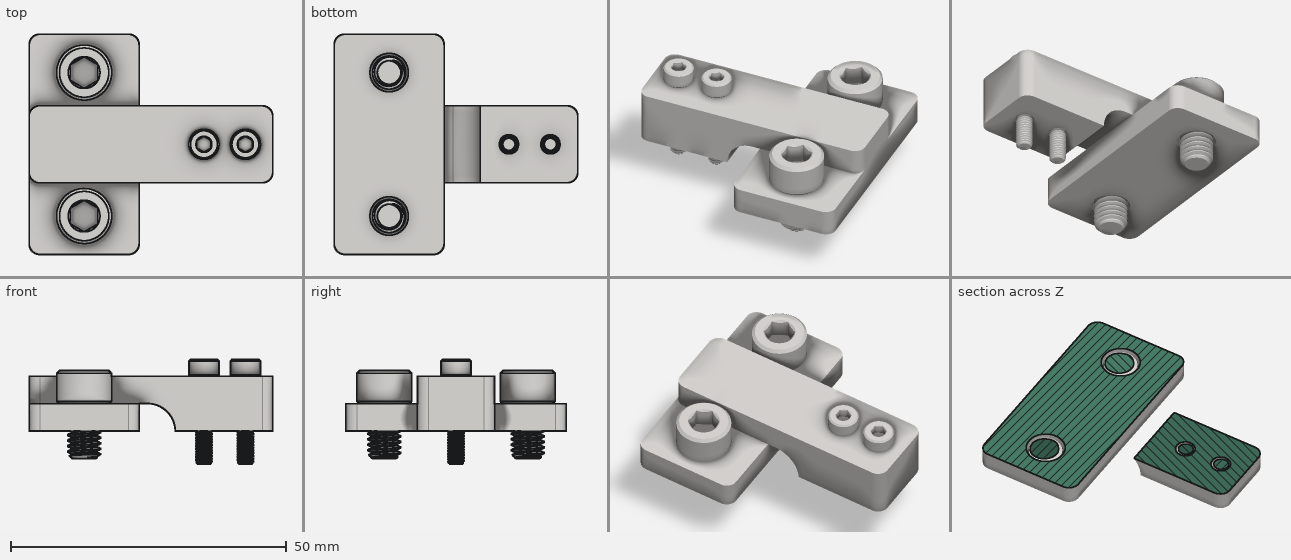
import cadquery as cq
import math

PLATE_LENGTH = 20.0
PLATE_WIDTH = 40.0
PLATE_THICKNESS = 5.0
CORNER_RADIUS = 2.0

ARM_LENGTH = 44.25
ARM_WIDTH = 14.02
ARM_TOP = 2 * PLATE_THICKNESS
ARCH_RADIUS = PLATE_THICKNESS
ARCH_CENTER_X = 21.5

LARGE_THREAD_DIAMETER = 6.0
LARGE_ROOT_DIAMETER = 4.7
LARGE_SHANK_LENGTH = 10.0
LARGE_TURNS = 10
LARGE_PITCH = LARGE_SHANK_LENGTH / LARGE_TURNS
LARGE_TIP_CHAMFER = 0.9
LARGE_TIP_TURNS = 7
LARGE_CREST_ANGLE = 70.0
LARGE_HEAD_DIAMETER = 10.0
LARGE_HEAD_HEIGHT = LARGE_THREAD_DIAMETER
LARGE_HEX_WIDTH = 5.0
LARGE_TOP_CHAMFER = 0.55
LARGE_BOTTOM_CHAMFER = 0.45
LARGE_HOLE_DIAMETER = 7.0
LARGE_SCREW_X = PLATE_LENGTH / 2
LARGE_SCREW_SPACING = 26.0

SMALL_THREAD_DIAMETER = 3.0
SMALL_ROOT_DIAMETER = 2.55
SMALL_PITCH = LARGE_PITCH / 2
SMALL_SHANK_LENGTH = 15.95
SMALL_TIP_CHAMFER = 0.4
SMALL_TIP_TURNS = 3
SMALL_CREST_ANGLE = 0.0
SMALL_HEAD_DIAMETER = 5.5
SMALL_HEAD_HEIGHT = SMALL_THREAD_DIAMETER
SMALL_HEX_WIDTH = 2.5
SMALL_TOP_CHAMFER = 0.3
SMALL_BOTTOM_CHAMFER = 0.25
SMALL_HOLE_DIAMETER = 3.5
SMALL_SCREW_END_MARGIN = 5.0
SMALL_SCREW_SPACING = 7.5

SOCKET_DEPTH_RATIO = 0.6
CREST_WIDTH_RATIO = 0.125
RIDGE_BASE_RATIO = 0.8
RIDGE_SINK_RATIO = 0.05

LARGE_SCREW_POINTS = [(LARGE_SCREW_X, side * LARGE_SCREW_SPACING / 2) for side in (-1, 1)]
SMALL_SCREW_POINTS = [
    (ARM_LENGTH - SMALL_SCREW_END_MARGIN - step * SMALL_SCREW_SPACING, 0) for step in (0, 1)
]


def make_plate():
    """Flat plate with rounded corners and a clearance hole for each large screw."""
    return (
        cq.Workplane("XY")
        .center(PLATE_LENGTH / 2, 0)
        .rect(PLATE_LENGTH, PLATE_WIDTH)
        .extrude(PLATE_THICKNESS)
        .edges("|Z")
        .fillet(CORNER_RADIUS)
        .faces(">Z")
        .workplane(origin=(0, 0, PLATE_THICKNESS))
        .pushPoints(LARGE_SCREW_POINTS)
        .circle(LARGE_HOLE_DIAMETER / 2)
        .cutThruAll()
    )


def make_arm():
    """Arm with a quarter-round arch at its step and a clearance hole for each small screw."""
    arch_offset = ARCH_RADIUS * math.sqrt(0.5)
    return (
        cq.Workplane("XZ")
        .moveTo(0, ARM_TOP)
        .lineTo(0, PLATE_THICKNESS)
        .lineTo(ARCH_CENTER_X, PLATE_THICKNESS)
        .threePointArc((ARCH_CENTER_X + arch_offset, arch_offset), (ARCH_CENTER_X + ARCH_RADIUS, 0))
        .lineTo(ARM_LENGTH, 0)
        .lineTo(ARM_LENGTH, ARM_TOP)
        .close()
        .extrude(ARM_WIDTH / 2, both=True)
        .edges("|Z and (<X or >X)")
        .fillet(CORNER_RADIUS)
        .faces(">Z")
        .workplane(origin=(0, 0, ARM_TOP))
        .pushPoints(SMALL_SCREW_POINTS)
        .circle(SMALL_HOLE_DIAMETER / 2)
        .cutThruAll()
    )


def make_head(diameter, height, hex_width, top_chamfer, bottom_chamfer):
    """Cylindrical cap head standing on Z = 0, with a hexagon socket and its conical lead-in."""
    hex_corner_diameter = hex_width / math.cos(math.pi / 6)
    lead_in_radius = hex_corner_diameter / 2
    head = cq.Workplane("XY").circle(diameter / 2).extrude(height)
    head = head.faces(">Z").chamfer(top_chamfer)
    head = head.faces("<Z").chamfer(bottom_chamfer)
    socket = (
        cq.Workplane("XY", origin=(0, 0, height))
        .transformed(rotate=(0, 0, 90))
        .polygon(6, hex_corner_diameter)
        .extrude(-SOCKET_DEPTH_RATIO * height)
    )
    lead_in = cq.Workplane(cq.Solid.makeCone(0, lead_in_radius, lead_in_radius))
    lead_in = lead_in.translate((0, 0, height - lead_in_radius))
    return head.cut(socket).cut(lead_in)


def make_ridge(diameter, root_diameter, pitch, length, crest_angle):
    """Right-hand helical ridge with a trapezoid profile, climbing from Z = 0."""
    root_radius = root_diameter / 2
    crest_height = (diameter - root_diameter) / 2
    half_base = RIDGE_BASE_RATIO * pitch / 2
    half_crest = CREST_WIDTH_RATIO * pitch / 2
    sink = RIDGE_SINK_RATIO * pitch
    helix = cq.Wire.makeHelix(pitch, length, root_radius)
    ridge = (
        cq.Workplane("XZ", origin=(root_radius, 0, 0))
        .moveTo(-sink, -half_base)
        .lineTo(crest_height, -half_crest)
        .lineTo(crest_height, half_crest)
        .lineTo(-sink, half_base)
        .close()
        .sweep(cq.Workplane(helix), isFrenet=True)
    )
    return ridge.rotate((0, 0, 0), (0, 0, 1), crest_angle)


def make_shank(diameter, root_diameter, pitch, length, tip_chamfer, tip_turns, crest_angle):
    """Threaded shank hanging below Z = 0, with a conical chamfer on its tip.

    The ridge starts one pitch below the tip and ends one pitch below the head. Its first
    turns are a separate piece, so that only this short piece is trimmed by the tip cone.
    """
    tip_radius = diameter / 2 - tip_chamfer
    tip_length = tip_turns * pitch
    cone_height = tip_length + pitch
    cone = cq.Workplane(cq.Solid.makeCone(tip_radius, tip_radius + cone_height, cone_height))

    core = cq.Workplane("XY").circle(root_diameter / 2).extrude(length)
    core = core.faces("<Z").chamfer(root_diameter / 2 - tip_radius)
    tip_ridge = make_ridge(diameter, root_diameter, pitch, tip_length, crest_angle)
    tip_ridge = tip_ridge.translate((0, 0, -pitch)).intersect(cone, clean=False)
    upper_ridge = make_ridge(diameter, root_diameter, pitch, length - tip_length, crest_angle)
    upper_ridge = upper_ridge.translate((0, 0, tip_length - pitch))

    shank = core.union(upper_ridge, clean=False).union(tip_ridge, clean=False)
    return shank.translate((0, 0, -length))


def make_large_screw():
    """Large cap screw with the underside of its head on Z = 0."""
    head = make_head(
        LARGE_HEAD_DIAMETER,
        LARGE_HEAD_HEIGHT,
        LARGE_HEX_WIDTH,
        LARGE_TOP_CHAMFER,
        LARGE_BOTTOM_CHAMFER,
    )
    shank = make_shank(
        LARGE_THREAD_DIAMETER,
        LARGE_ROOT_DIAMETER,
        LARGE_PITCH,
        LARGE_SHANK_LENGTH,
        LARGE_TIP_CHAMFER,
        LARGE_TIP_TURNS,
        LARGE_CREST_ANGLE,
    )
    return shank.union(head, clean=False)


def make_small_screw():
    """Small cap screw with the underside of its head on Z = 0."""
    head = make_head(
        SMALL_HEAD_DIAMETER,
        SMALL_HEAD_HEIGHT,
        SMALL_HEX_WIDTH,
        SMALL_TOP_CHAMFER,
        SMALL_BOTTOM_CHAMFER,
    )
    shank = make_shank(
        SMALL_THREAD_DIAMETER,
        SMALL_ROOT_DIAMETER,
        SMALL_PITCH,
        SMALL_SHANK_LENGTH,
        SMALL_TIP_CHAMFER,
        SMALL_TIP_TURNS,
        SMALL_CREST_ANGLE,
    )
    return shank.union(head, clean=False)


def place_copies(screw, points, seat_height):
    """One separate solid per point, with the head seated at the given height."""
    return [screw.translate((x, y, seat_height)).solids().val() for x, y in points]


plate = make_plate()
arm = make_arm()
large_screws = place_copies(make_large_screw(), LARGE_SCREW_POINTS, PLATE_THICKNESS)
small_screws = place_copies(make_small_screw(), SMALL_SCREW_POINTS, ARM_TOP)

result = cq.Compound.makeCompound(
    [plate.solids().val(), arm.solids().val(), *large_screws, *small_screws]
)